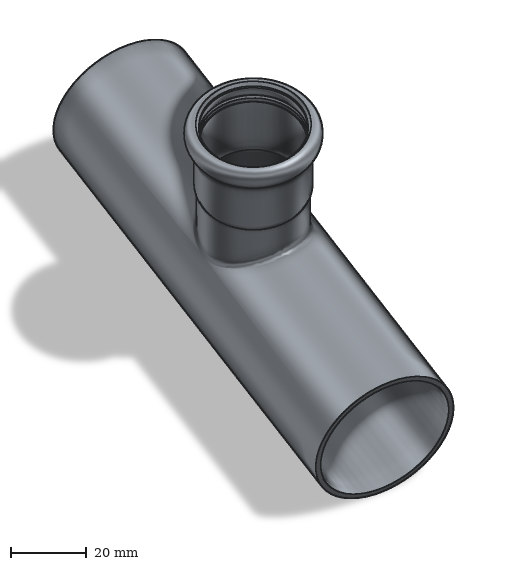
import cadquery as cq
import math

run_length = 138.0
run_outer_radius = 42.0 / 2
wall = 1.5
run_bore_radius = run_outer_radius - wall

neck_outer_radius = 30.0 / 2
neck_bore_radius = neck_outer_radius - wall
socket_outer_radius = 31.4 / 2
socket_bore_radius = socket_outer_radius - wall
shoulder_bottom = 32.0
shoulder_top = 34.0
branch_top = 57.0
weld_fillet_radius = 2.0

bead_outer_radius = 36.6 / 2
bead_roll_radius = 3.6
bead_ring_radius = bead_outer_radius - bead_roll_radius

mouth_radius = 15.2
lip_radius = 28.8 / 2
bevel_depth = 1.0
groove_top = branch_top - 1.7
groove_bottom = branch_top - 5.7
groove_radius = 15.6
seat_height = branch_top - 7.0


def bead_z_offset(radius):
    """Height between the bead centre and its roll circle at a given radius."""
    return math.sqrt(bead_roll_radius**2 - (radius - bead_ring_radius) ** 2)


bead_height = branch_top - bead_z_offset(mouth_radius)


def revolve_about_z(profile):
    return profile.close().revolve(360, (0, 0, 0), (0, 1, 0))


def cylinder_along_x(radius):
    return cq.Workplane("YZ").circle(radius).extrude(run_length / 2, both=True)


def shoulder_profile(neck_radius, socket_radius):
    """Open half section from the run axis up the neck and around the shoulder to the socket."""
    shoulder_rise = shoulder_top - shoulder_bottom
    shoulder_step = socket_radius - neck_radius
    arc_radius = (shoulder_rise**2 + shoulder_step**2) / (2 * shoulder_step)
    return (
        cq.Workplane("XZ")
        .lineTo(neck_radius, 0)
        .lineTo(neck_radius, shoulder_bottom)
        .radiusArc((socket_radius, shoulder_top), -arc_radius)
    )


def make_branch_outside():
    bead_bottom = bead_height - bead_z_offset(socket_outer_radius)
    return revolve_about_z(
        shoulder_profile(neck_outer_radius, socket_outer_radius)
        .lineTo(socket_outer_radius, bead_bottom)
        .threePointArc((bead_outer_radius, bead_height), (mouth_radius, branch_top))
        .lineTo(0, branch_top)
    )


def make_branch_inside():
    seal_height = (groove_top + groove_bottom) / 2
    return revolve_about_z(
        shoulder_profile(neck_bore_radius, socket_bore_radius)
        .lineTo(socket_bore_radius, seat_height)
        .lineTo(lip_radius, seat_height)
        .lineTo(lip_radius, groove_bottom)
        .lineTo(groove_radius, groove_bottom)
        .threePointArc((lip_radius, seal_height), (groove_radius, groove_top))
        .lineTo(lip_radius, groove_top)
        .lineTo(lip_radius, branch_top - bevel_depth)
        .lineTo(mouth_radius, branch_top)
        .lineTo(0, branch_top)
    )


def is_weld_edge(edge):
    """True for the curve where the neck meets the outside of the run tube."""
    box = edge.BoundingBox()
    return 0 < box.zmin < box.zmax < shoulder_bottom and box.xmax < socket_outer_radius and box.zlen > wall


def make_outside():
    body = cylinder_along_x(run_outer_radius).union(make_branch_outside())
    weld_edges = [edge for edge in body.edges().vals() if is_weld_edge(edge)]
    return body.newObject(weld_edges).fillet(weld_fillet_radius)


def make_inside():
    return cylinder_along_x(run_bore_radius).union(make_branch_inside())


result = make_outside().cut(make_inside())